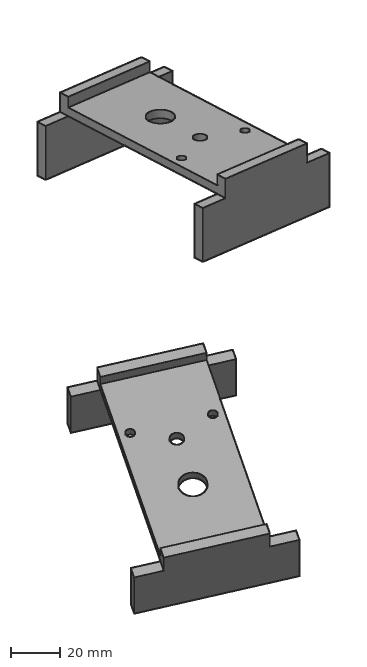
import cadquery as cq

length = 100.0
wall_width = 70.0
height = 34.0

wall_thickness = 5.0
shoulder_height = 25.0
deck_width = 45.0
deck_thickness = 4.0

large_hole_diameter = 12.0
large_hole_x = -14.0
medium_hole_diameter = 6.0
medium_hole_x = 10.0
small_hole_diameter = 4.0
small_hole_x = 18.0
small_hole_spacing = 35.0


def box_on(bottom, x_size, y_size, z_size, x_center=0.0):
    """Box centred in Y whose lower face is at height bottom."""
    return (
        cq.Workplane("XY", origin=(x_center, 0, bottom))
        .box(x_size, y_size, z_size, centered=(True, True, False))
    )


def end_wall(side):
    """Wide wall with a narrower raised middle, at the -X or +X end."""
    x_center = side * (length - wall_thickness) / 2
    lower = box_on(0, wall_thickness, wall_width, shoulder_height, x_center)
    upper = box_on(0, wall_thickness, deck_width, height, x_center)
    return lower.union(upper)


def drill(body, diameter, points):
    """Cut round holes vertically through the whole body."""
    cutters = cq.Workplane("XY").pushPoints(points).circle(diameter / 2).extrude(height)
    return body.cut(cutters)


result = box_on(shoulder_height, length, deck_width, deck_thickness)
for side in (-1, 1):
    result = result.union(end_wall(side))

result = drill(result, large_hole_diameter, [(large_hole_x, 0)])
result = drill(result, medium_hole_diameter, [(medium_hole_x, 0)])
small_hole_points = [(small_hole_x, side * small_hole_spacing / 2) for side in (-1, 1)]
result = drill(result, small_hole_diameter, small_hole_points)